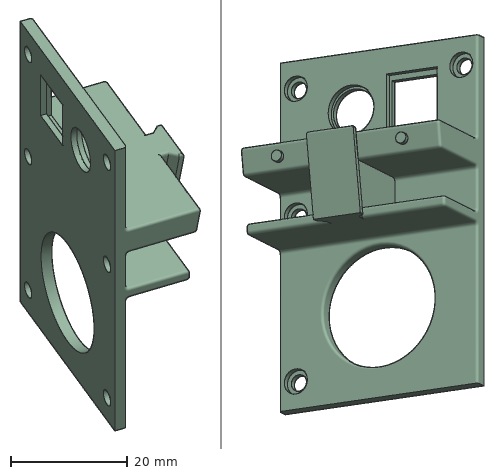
import cadquery as cq
import math


plate_width = 38.75
plate_height = 62.2
plate_thickness = 2.25
front_layer = 1.1
plate_turn = -45.0

upper_shelf_top = 43.65
upper_shelf_thickness = 5.0
upper_shelf_reach = 16.5
lower_shelf_top = 30.6
lower_shelf_thickness = 2.0
lower_shelf_reach = 14.3
back_tilt_angle = 10
back_tilt = math.tan(math.radians(back_tilt_angle))

neck_width = 6.35
neck_depth = 1.25
head_width = 9.15
head_side = 0.95

peg_diameter = 2.0
peg_length = 0.75
peg_spacing = 24.25

screw_diameter = 2.9
screw_recess_diameter = 4.5
screw_inset = 3.25
screw_heights = (5.0, 34.6, 57.2)
blind_screw_heights = (5.0, 34.6)

large_hole_diameter = 21.65
large_hole_height = 16.35
small_hole_diameter = 8.0
small_hole_x = 24.75
window_size = 9.0
window_x = 12.9
upper_opening_height = 52.0
recess_side_margin = 0.45
recess_end_margin = 1.0

edge_radius = 0.5
corner_radius = 0.6

selection_gap = 0.05

mid_x = plate_width / 2
upper_shelf_bottom = upper_shelf_top - upper_shelf_thickness
lower_shelf_bottom = lower_shelf_top - lower_shelf_thickness


def leaning_y(top_y, z):
    """Y at height z of a surface that leans back and reaches top_y at the upper shelf top."""
    return top_y - (upper_shelf_top - z) * back_tilt


def rear_zone(end_gap):
    """Selects what lies behind the plate's front face, end_gap beyond its top and bottom edges."""
    return cq.selectors.BoxSelector(
        (-selection_gap, plate_thickness - selection_gap, -end_gap),
        (plate_width + selection_gap, plate_height, plate_height + end_gap),
    )


def make_body():
    """Plate and both shelves as one side profile, with rounded corners and side edges."""
    profile = [
        (0, 0),
        (plate_thickness, 0),
        (plate_thickness, lower_shelf_bottom),
        (lower_shelf_reach, lower_shelf_bottom),
        (lower_shelf_reach, lower_shelf_top),
        (plate_thickness, lower_shelf_top),
        (plate_thickness, upper_shelf_bottom),
        (leaning_y(upper_shelf_reach, upper_shelf_bottom), upper_shelf_bottom),
        (upper_shelf_reach, upper_shelf_top),
        (plate_thickness, upper_shelf_top),
        (plate_thickness, plate_height),
        (0, plate_height),
    ]
    body = cq.Workplane("YZ").polyline(profile).close().extrude(plate_width)
    body = body.edges("|X").edges(rear_zone(-selection_gap)).fillet(corner_radius)
    return body.faces("<X or >X").edges(rear_zone(selection_gap)).fillet(edge_radius)


def make_rail():
    """Web between the shelves that ends in a dovetail leaning back with the shelf end."""
    half_neck = neck_width / 2
    half_head = head_width / 2
    flank_start = upper_shelf_reach + neck_depth
    flank_end = flank_start + half_head - half_neck
    back = flank_end + head_side

    def section(z):
        half_outline = [
            (half_neck, leaning_y(flank_start, z)),
            (half_head, leaning_y(flank_end, z)),
            (half_head, leaning_y(back, z)),
        ]
        right = [(half_neck, plate_thickness)] + half_outline
        left = [(-x, y) for x, y in reversed(right)]
        points = [cq.Vector(mid_x + x, y, z) for x, y in right + left]
        return cq.Wire.makePolygon(points, close=True)

    sections = [section(lower_shelf_bottom), section(upper_shelf_top)]
    rail = cq.Workplane(cq.Solid.makeLoft(sections, True))
    return rail.faces(">Z").edges("not <Y").fillet(edge_radius)


def make_pegs():
    """Two pegs standing on the end of the upper shelf at mid height."""
    z = upper_shelf_top - upper_shelf_thickness / 2
    length = leaning_y(upper_shelf_reach, z) + peg_length - plate_thickness
    pegs = cq.Workplane("XZ", origin=(mid_x, plate_thickness, z))
    pegs = pegs.pushPoints([(-peg_spacing / 2, 0), (peg_spacing / 2, 0)])
    return pegs.circle(peg_diameter / 2).extrude(-length)


def hole(x, z, diameter, start, end):
    """Round cutter along Y from depth start to depth end."""
    plane = cq.Workplane("XZ", origin=(x, start, z))
    return plane.circle(diameter / 2).extrude(start - end)


def cut_screw_holes(body):
    """Two columns of screw holes, recessed from behind except for the blind ones."""
    left_x = screw_inset
    right_x = plate_width - screw_inset
    for z in screw_heights:
        for x in (left_x, right_x):
            body = body.cut(hole(x, z, screw_diameter, 0, front_layer))
            blind = x == left_x and z in blind_screw_heights
            if not blind:
                body = body.cut(hole(x, z, screw_recess_diameter, front_layer, plate_thickness))
    return body


def cut_openings(body):
    """Large hole with a rounded rear rim, and small hole and window with rear recesses."""
    large_radius = large_hole_diameter / 2
    rim_radius = large_radius + edge_radius
    rim_start = plate_thickness - edge_radius
    large_hole = (
        cq.Workplane("XY")
        .lineTo(large_radius, 0)
        .lineTo(large_radius, rim_start)
        .radiusArc((rim_radius, plate_thickness), edge_radius)
        .lineTo(0, plate_thickness)
        .close()
        .revolve(360, (0, 0, 0), (0, 1, 0))
        .translate((mid_x, 0, large_hole_height))
    )

    small_recess_diameter = small_hole_diameter + 2 * recess_side_margin
    small_hole = hole(small_hole_x, upper_opening_height, small_hole_diameter, 0, front_layer).union(
        hole(small_hole_x, upper_opening_height, small_recess_diameter, front_layer, plate_thickness)
    )

    window_plane = cq.Workplane("XZ", origin=(window_x, 0, upper_opening_height))
    window = window_plane.rect(window_size, window_size).extrude(-plate_thickness)
    recess_width = window_size + 2 * recess_side_margin
    recess_height = window_size + 2 * recess_end_margin
    recess = (
        window_plane.workplane(offset=-front_layer)
        .rect(recess_width, recess_height)
        .extrude(front_layer - plate_thickness)
    )
    return body.cut(large_hole).cut(small_hole).cut(window).cut(recess)


bracket = make_body().union(make_rail()).union(make_pegs())
bracket = cut_openings(cut_screw_holes(bracket))
result = bracket.rotate((0, 0, 0), (0, 0, 1), plate_turn)